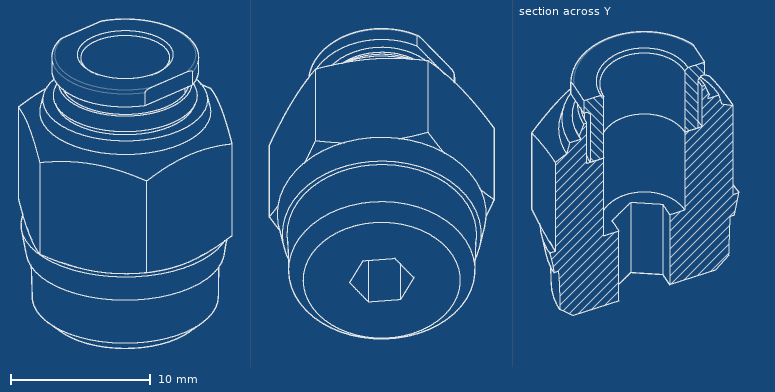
import cadquery as cq
import math

total_height = 21.03
thread_chamfer = 1.05
seal_bottom_z = 4.85
hex_bottom_z = 6.98
collar_seat_z = 14.72
shoulder_bottom_z = 16.32
shoulder_top_z = 17.3
lip_edge_z = 17.65
housing_top_z = 18.72
neck_top_z = 19.47
flange_bottom_z = 19.75

hex_across_flats = 14.0
hex_corner_radius = hex_across_flats / math.sqrt(3)
hex_chamfer_slope = math.tan(math.radians(30))
thread_bottom_radius = 6.67
thread_top_radius = 6.77
seal_bottom_radius = 7.1
seal_top_radius = 7.47
shoulder_bottom_radius = 6.12
shoulder_top_radius = 5.89
lip_bottom_radius = 5.0
lip_edge_radius = 5.15
lip_top_radius = 4.77
collar_recess_radius = 4.55

flange_radius = 5.25
flange_across_flats = 9.5
flange_rounding = 0.2
neck_radius = 4.27
neck_flare_radius = 4.5

bore_radius = 3.18
bore_chamfer = 0.25
bore_floor_z = hex_bottom_z
key_across_flats = 4.0


def hex_prism(across_flats, bottom_z, top_z):
    """Hexagonal prism with two corners on the Y axis."""
    corner_diameter = 2 * across_flats / math.sqrt(3)
    prism = cq.Workplane("XY").polygon(6, corner_diameter).extrude(top_z - bottom_z)
    return prism.rotate((0, 0, 0), (0, 0, 1), 30).translate((0, 0, bottom_z))


def revolved(profile):
    """Solid of revolution about Z from (radius, height) points."""
    return cq.Workplane("XZ").polyline(profile).close().revolve(360, (0, 0, 0), (0, 1, 0))


def cylinder(radius, bottom_z, top_z):
    return cq.Workplane("XY").workplane(offset=bottom_z).circle(radius).extrude(top_z - bottom_z)


def hex_section():
    """Wrench hexagon whose corners are trimmed by cones at both ends."""
    flat_radius = hex_across_flats / 2
    corner_drop = (hex_corner_radius - shoulder_bottom_radius) * hex_chamfer_slope
    corner_rise = (hex_corner_radius - flat_radius) * hex_chamfer_slope
    trimming_body = revolved([
        (0, hex_bottom_z),
        (flat_radius, hex_bottom_z),
        (hex_corner_radius, hex_bottom_z + corner_rise),
        (hex_corner_radius, shoulder_bottom_z - corner_drop),
        (shoulder_bottom_radius, shoulder_bottom_z),
        (0, shoulder_bottom_z),
    ])
    return hex_prism(hex_across_flats, hex_bottom_z, shoulder_bottom_z).intersect(trimming_body)


def make_housing():
    lower_end = revolved([
        (0, 0),
        (thread_bottom_radius - thread_chamfer, 0),
        (thread_bottom_radius, thread_chamfer),
        (thread_top_radius, seal_bottom_z),
        (seal_bottom_radius, seal_bottom_z),
        (seal_top_radius, hex_bottom_z),
        (0, hex_bottom_z),
    ])
    shoulder_and_lip = revolved([
        (0, shoulder_bottom_z),
        (shoulder_bottom_radius, shoulder_bottom_z),
        (shoulder_top_radius, shoulder_top_z),
        (lip_bottom_radius, shoulder_top_z),
        (lip_edge_radius, lip_edge_z),
        (lip_top_radius, housing_top_z),
        (0, housing_top_z),
    ])
    body = lower_end.union(hex_section()).union(shoulder_and_lip)
    body = body.cut(cylinder(collar_recess_radius, collar_seat_z, housing_top_z))
    body = body.cut(cylinder(bore_radius, bore_floor_z, collar_seat_z))
    return body.cut(hex_prism(key_across_flats, 0, bore_floor_z))


def make_release_collar():
    sleeve = revolved([
        (0, collar_seat_z),
        (neck_radius, collar_seat_z),
        (neck_radius, neck_top_z),
        (neck_flare_radius, flange_bottom_z),
        (0, flange_bottom_z),
    ])
    flange = (
        cylinder(flange_radius, flange_bottom_z, total_height)
        .faces(">Z").edges().fillet(flange_rounding)
    )
    flats = cq.Workplane("XY").box(flange_across_flats, 2 * flange_radius, 2 * total_height)
    collar = sleeve.union(flange.intersect(flats))
    collar = collar.cut(cylinder(bore_radius, collar_seat_z, total_height))
    mouth = revolved([
        (0, total_height - bore_chamfer),
        (bore_radius, total_height - bore_chamfer),
        (bore_radius + bore_chamfer, total_height),
        (0, total_height),
    ])
    return collar.cut(mouth)


housing = make_housing()
release_collar = make_release_collar()

result = cq.Compound.makeCompound([housing.solids().val(), release_collar.solids().val()])